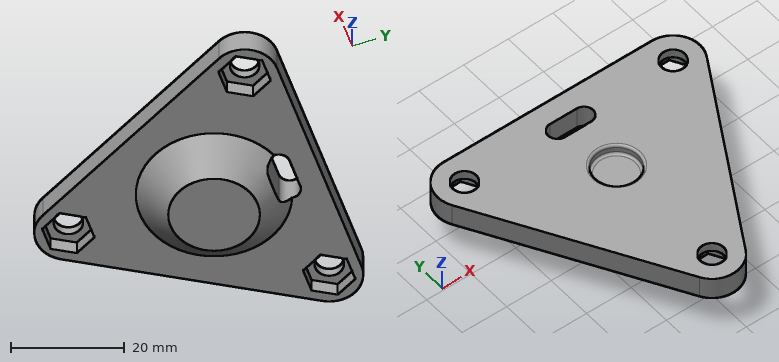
import cadquery as cq
import math

hole_spacing = 46.8
corner_radius = 6.0
plate_thickness = 5.0
hole_circle_radius = hole_spacing / math.sqrt(3)
plate_side_offset = hole_circle_radius / 2 + corner_radius

hole_diameter = 5.2
nut_across_flats = 8.1
nut_corner_diameter = nut_across_flats / math.cos(math.radians(30))
nut_pocket_depth = 3.0

boss_height = 5.7
boss_tip_radius = 8.05
boss_base_radius = boss_tip_radius + boss_height

recess_diameter = 9.5
recess_depth = 2.1
recess_fillet = 0.5

slot_length = 10.0
slot_width = 4.0
slot_y = 13.0

corner_angles = (30, 150, 270)
hole_centres = [
    (hole_circle_radius * math.cos(math.radians(a)), hole_circle_radius * math.sin(math.radians(a)))
    for a in corner_angles
]


def make_plate():
    sharp_corner_radius = 2 * plate_side_offset
    corners = [
        (sharp_corner_radius * math.cos(math.radians(a)), sharp_corner_radius * math.sin(math.radians(a)))
        for a in corner_angles
    ]
    plate = cq.Workplane("XY").polyline(corners).close().extrude(plate_thickness)
    return plate.edges("|Z").fillet(corner_radius)


def make_boss():
    profile = [(0, 0), (boss_base_radius, 0), (boss_tip_radius, -boss_height), (0, -boss_height)]
    return cq.Workplane("XZ").polyline(profile).close().revolve(360, (0, 0), (0, 1))


def cut_corner_holes(body):
    holes = cq.Workplane("XY").pushPoints(hole_centres).circle(hole_diameter / 2).extrude(plate_thickness)
    nut_pockets = (
        cq.Workplane("XY").pushPoints(hole_centres).polygon(6, nut_corner_diameter).extrude(nut_pocket_depth)
    )
    return body.cut(holes).cut(nut_pockets)


def cut_slot(body):
    slot = (
        cq.Workplane("XY", origin=(0, slot_y, -boss_height))
        .slot2D(slot_length, slot_width)
        .extrude(boss_height + plate_thickness)
    )
    return body.cut(slot)


def cut_recess(body):
    recess_radius = recess_diameter / 2
    floor_z = plate_thickness - recess_depth
    wall_bottom_z = floor_z + recess_fillet
    wall_top_z = plate_thickness - recess_fillet
    arc_reach = recess_fillet * math.sin(math.radians(45))
    recess = (
        cq.Workplane("XZ")
        .moveTo(0, floor_z)
        .lineTo(recess_radius - recess_fillet, floor_z)
        .threePointArc(
            (recess_radius - recess_fillet + arc_reach, wall_bottom_z - arc_reach),
            (recess_radius, wall_bottom_z),
        )
        .lineTo(recess_radius, wall_top_z)
        .threePointArc(
            (recess_radius + recess_fillet - arc_reach, wall_top_z + arc_reach),
            (recess_radius + recess_fillet, plate_thickness),
        )
        .lineTo(0, plate_thickness)
        .close()
        .revolve(360, (0, 0), (0, 1))
    )
    return body.cut(recess)


body = make_plate().union(make_boss())
body = cut_corner_holes(body)
body = cut_slot(body)
result = cut_recess(body)